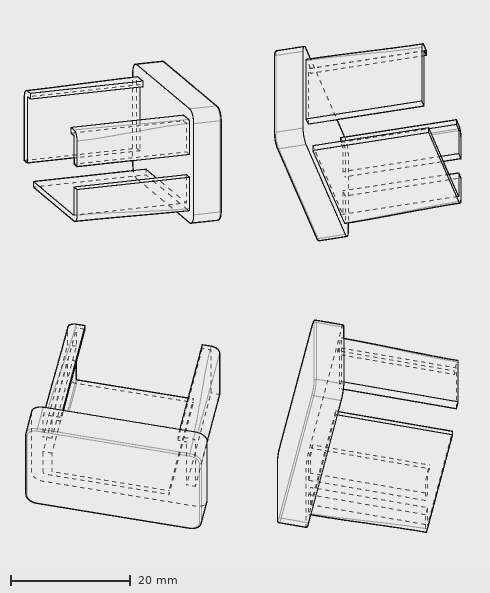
import cadquery as cq

plate_width = 30.0
plate_height = plate_width * 2 / 3
plate_depth = plate_width / 6
plate_corner_radius = plate_depth * 0.4
back_edge_fillet = 0.3

sleeve_inset = plate_corner_radius
sleeve_width = plate_width - 2 * sleeve_inset
sleeve_height = plate_height - 2 * sleeve_inset
sleeve_length = plate_width * 2 / 3
side_wall = 1.5
floor_wall = side_wall * 2 / 3
inner_corner_radius = 0.2

lip_width = 3.0
right_wall_piece = 6.0
left_wall_gap = 3.33
floor_gap = 4.5

root_corner_radius = side_wall / 3
tip_corner_radius = side_wall
blend_steps = 8

left = -sleeve_width / 2
right = sleeve_width / 2
bottom = -sleeve_height / 2
top = sleeve_height / 2


def sleeve_block(x_min, x_max, z_min, z_max):
    """Box over the full sleeve length, bounded in X and Z."""
    return (
        cq.Workplane("XY")
        .box(x_max - x_min, sleeve_length, z_max - z_min, centered=False)
        .translate((x_min, -sleeve_length, z_min))
    )


def corner_cutter(x_sign, z_sign):
    """Waste outside a sleeve corner whose radius blends smoothly along Y."""
    corner_x = x_sign * right
    corner_z = z_sign * top
    arc_middle_factor = 1 - 0.5 ** 0.5
    sections = []
    for step in range(blend_steps + 1):
        t = step / blend_steps
        blend = t * t * (3 - 2 * t)
        radius = root_corner_radius + (tip_corner_radius - root_corner_radius) * blend
        y = -sleeve_length * t
        corner = cq.Vector(corner_x, y, corner_z)
        on_side = cq.Vector(corner_x, y, corner_z - z_sign * radius)
        on_flat = cq.Vector(corner_x - x_sign * radius, y, corner_z)
        middle = cq.Vector(
            corner_x - x_sign * radius * arc_middle_factor,
            y,
            corner_z - z_sign * radius * arc_middle_factor,
        )
        edges = [
            cq.Edge.makeLine(corner, on_side),
            cq.Edge.makeThreePointArc(on_side, middle, on_flat),
            cq.Edge.makeLine(on_flat, corner),
        ]
        sections.append(cq.Wire.assembleEdges(edges))
    return cq.Workplane(obj=cq.Solid.makeLoft(sections))


plate = (
    cq.Workplane("XY")
    .box(plate_width, plate_depth, plate_height)
    .translate((0, plate_depth / 2, 0))
    .edges("|Y")
    .fillet(plate_corner_radius)
    .faces(">Y")
    .edges()
    .fillet(back_edge_fillet)
)

cavity = sleeve_block(
    left + side_wall, right - side_wall, bottom + floor_wall, top - floor_wall
).edges("|Y").fillet(inner_corner_radius)
sleeve = sleeve_block(left, right, bottom, top).cut(cavity)

top_gap = sleeve_block(left + lip_width, right - lip_width, top - floor_wall, top)
right_gap = sleeve_block(
    right - side_wall, right, bottom + right_wall_piece, top - right_wall_piece
)
corner_gap = sleeve_block(left, left + floor_gap, bottom, bottom + left_wall_gap)
sleeve = sleeve.cut(top_gap).cut(right_gap).cut(corner_gap)

for x_side, z_side in [(-1, 1), (1, 1), (1, -1)]:
    sleeve = sleeve.cut(corner_cutter(x_side, z_side))

result = plate.union(sleeve)